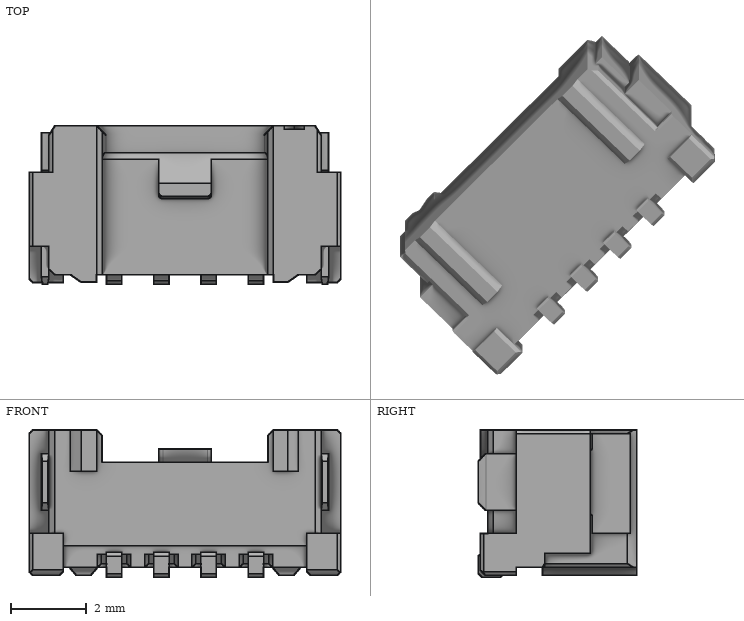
import cadquery as cq
import math


overall_length = 8.25
overall_depth = 4.2
overall_height = 3.9
side_x = overall_length / 2
rear_y = overall_depth / 2
pin_tip_y = -rear_y

core_half_length = 3.6
core_front_y = -1.845
core_bottom_z = 0.26
edge_chamfer = 0.1
corner_width = 0.16
front_corner_depth = 0.15
rear_corner_depth = 0.25

wing_rear_y = 0.87
wing_front_y = -1.09
wing_underside_z = 0.635
wing_skirt_rear_y = -0.34
skirt_bevel = 0.06
wing_overlap = 0.3
wing_inner_x = core_half_length - wing_overlap
foot_front_y = -2.05
foot_inner_x = 3.22
foot_bottom_z = 0.05
foot_top_z = 1.16
foot_toe_chamfer = 0.15

channel_half_width = 2.19
post_chamfer = 0.15
lip_x = channel_half_width + post_chamfer
roof_z = 3.05
ledge_z = 2.95
ramp_top_y = 1.21
ramp_bottom_y = 1.39
ramp_slope = (roof_z - ledge_z) / (ramp_bottom_y - ramp_top_y)
ledge_fillet = roof_z - ledge_z

latch_width = 1.39
latch_top_z = 3.4
latch_rear_y = ramp_top_y - (latch_top_z - roof_z) / ramp_slope
latch_front_top_y = 0.235
latch_front_base_y = 0.17
latch_fillet = 0.1

rib_front_y = -2.04
rib_bottom_z = 2.8
rib_inner_x = lip_x
rib_root_width = {-1: 0.69, 1: 0.66}
rib_slope_width = 0.28

rail_center_x = 2.685
rail_base_width = 0.75
rail_foot_width = 0.38
rail_front_y = -0.4

tab_inner_x = core_half_length
tab_thickness = 0.2
front_tab_bottom_z = 1.77
front_tab_top_z = 3.27
front_tab_chamfer = 0.2
front_tab_taper = 0.03
rear_tab_rear_y = 1.92
rear_tab_top_z = overall_height - edge_chamfer
neck_length = 0.05
neck_bottom_z = 1.63
neck_top_z = 3.4

strip_top_z = 0.84
strip_depth = 0.1
strip_y = core_front_y + strip_depth

pin_count = 4
pin_pitch = 1.25
pin_width = 0.41
pin_rear_y = -1.46
pin_top_z = 0.66
pin_chamfer = 0.1
pin_heel_chamfer = 0.05
pocket_width = 0.88
pocket_top_z = 0.61
pocket_taper = 0.1
pocket_straight_depth = 0.2
pocket_sill_z = core_bottom_z + pocket_taper
pin_root_y = strip_y + pocket_straight_depth + 2 * pocket_taper

mark_center_x = 2.89
mark_width = 0.52
mark_height = mark_width * math.sin(math.radians(60))
mark_depth = 0.1


def prism_x(points, x_start, x_end):
    """Extrude a (y, z) outline between two X positions."""
    outline = cq.Workplane("YZ", origin=(x_start, 0, 0)).polyline(points).close()
    return outline.extrude(x_end - x_start)


def prism_y(points, y_start, y_end):
    """Extrude an (x, z) outline between two Y positions."""
    outline = cq.Workplane("XZ", origin=(0, y_start, 0)).polyline(points).close()
    return outline.extrude(y_start - y_end)


def prism_z(points, z_start, z_end):
    """Extrude an (x, y) outline between two Z positions."""
    outline = cq.Workplane("XY", origin=(0, 0, z_start)).polyline(points).close()
    return outline.extrude(z_end - z_start)


def mirrored(points):
    """Close a half outline by repeating it, reversed, on the -X side."""
    return points + [(-x, v) for x, v in reversed(points)]


def both_sides(solid):
    """Join a solid with its mirror image on the -X side."""
    return solid.union(solid.mirror("YZ"))


def make_core():
    corner_x = core_half_length - corner_width
    plan = mirrored([
        (corner_x, core_front_y),
        (core_half_length, core_front_y + front_corner_depth),
        (core_half_length, rear_y - rear_corner_depth),
        (corner_x, rear_y),
    ])
    core = prism_z(plan, core_bottom_z, overall_height)

    bevel_x = core_half_length - edge_chamfer
    top_bevel = prism_y(
        [
            (bevel_x, overall_height),
            (core_half_length, overall_height),
            (core_half_length, overall_height - edge_chamfer),
        ],
        wing_front_y,
        rear_y,
    )
    bottom_bevel = prism_y(
        [
            (bevel_x, core_bottom_z),
            (core_half_length, core_bottom_z),
            (core_half_length, core_bottom_z + edge_chamfer),
        ],
        wing_skirt_rear_y,
        rear_y,
    )
    return core.cut(both_sides(top_bevel)).cut(both_sides(bottom_bevel))


def make_channel():
    """Volume removed between the posts: stepped floor, filleted ledge, flared mouth."""
    ledge_x = channel_half_width - ledge_fillet
    bend = ledge_fillet * (1 - math.sin(math.radians(45)))
    section = (
        cq.Workplane("XZ", origin=(0, core_front_y, 0))
        .moveTo(-ledge_x, ledge_z)
        .lineTo(ledge_x, ledge_z)
        .threePointArc((channel_half_width - bend, ledge_z + bend), (channel_half_width, roof_z))
        .lineTo(channel_half_width, overall_height - post_chamfer)
        .lineTo(lip_x, overall_height)
        .lineTo(-lip_x, overall_height)
        .lineTo(-channel_half_width, overall_height - post_chamfer)
        .lineTo(-channel_half_width, roof_z)
        .threePointArc((bend - channel_half_width, ledge_z + bend), (-ledge_x, ledge_z))
        .close()
        .extrude(core_front_y - rear_y)
    )
    floor = [
        (core_front_y, roof_z),
        (ramp_top_y, roof_z),
        (ramp_bottom_y, ledge_z),
        (rear_y, ledge_z),
        (rear_y, overall_height),
        (core_front_y, overall_height),
    ]
    channel = section.intersect(prism_x(floor, -lip_x, lip_x))
    mouth = mirrored([(ledge_x, rear_y - (lip_x - ledge_x)), (lip_x, rear_y)])
    return channel.union(prism_z(mouth, ledge_z, overall_height))


def make_latch():
    profile = [
        (latch_front_base_y, roof_z),
        (latch_front_top_y, latch_top_z),
        (latch_rear_y, latch_top_z),
        (ramp_top_y, roof_z),
    ]
    latch = prism_x(profile, -latch_width / 2, latch_width / 2)
    front_edges = latch.faces("<Y").edges("not #Z")
    return front_edges.fillet(latch_fillet)


def make_wing():
    profile = [
        (wing_front_y, core_bottom_z),
        (wing_skirt_rear_y - skirt_bevel, core_bottom_z),
        (wing_skirt_rear_y, core_bottom_z + edge_chamfer),
        (wing_skirt_rear_y, wing_underside_z),
        (wing_rear_y, wing_underside_z),
        (wing_rear_y, overall_height),
        (wing_front_y, overall_height),
    ]
    wing = prism_x(profile, wing_inner_x, side_x)
    return wing.faces(">Z").edges(">X").chamfer(edge_chamfer)


def make_foot():
    front = [
        (foot_inner_x, foot_top_z),
        (foot_inner_x, foot_bottom_z + edge_chamfer),
        (foot_inner_x + edge_chamfer, foot_bottom_z),
        (side_x - edge_chamfer, foot_bottom_z),
        (side_x, foot_bottom_z + edge_chamfer),
        (side_x, foot_top_z),
    ]
    side = [
        (wing_front_y, foot_bottom_z),
        (foot_front_y + foot_toe_chamfer, foot_bottom_z),
        (foot_front_y, foot_bottom_z + foot_toe_chamfer),
        (foot_front_y, foot_top_z),
        (wing_front_y, foot_top_z),
    ]
    plan = [
        (foot_inner_x, wing_front_y),
        (foot_inner_x, foot_front_y),
        (side_x - edge_chamfer, foot_front_y),
        (side_x, foot_front_y + edge_chamfer),
        (side_x, wing_front_y),
    ]
    foot = prism_y(front, foot_front_y, wing_front_y)
    foot = foot.intersect(prism_x(side, foot_inner_x, side_x))
    return foot.intersect(prism_z(plan, foot_bottom_z, foot_top_z))


def make_rib(side):
    """Rib on the front of one post; side is -1 or +1."""
    root_x = rib_inner_x + rib_root_width[side]
    plan = [
        (side * rib_inner_x, core_front_y),
        (side * rib_inner_x, rib_front_y),
        (side * (root_x - rib_slope_width), rib_front_y),
        (side * root_x, core_front_y),
    ]
    return prism_z(plan, rib_bottom_z, overall_height)


def make_rail():
    section = [
        (rail_center_x - rail_base_width / 2, core_bottom_z),
        (rail_center_x - rail_foot_width / 2, foot_bottom_z),
        (rail_center_x + rail_foot_width / 2, foot_bottom_z),
        (rail_center_x + rail_base_width / 2, core_bottom_z),
    ]
    return prism_y(section, rail_front_y, rear_y)


def make_front_tab():
    outer_x = tab_inner_x + tab_thickness
    shoulder_y = pin_tip_y + front_tab_chamfer
    side = [
        (wing_front_y, front_tab_bottom_z),
        (shoulder_y, front_tab_bottom_z),
        (pin_tip_y, front_tab_bottom_z + front_tab_chamfer),
        (pin_tip_y, front_tab_top_z - front_tab_chamfer),
        (shoulder_y, front_tab_top_z),
        (wing_front_y, front_tab_top_z),
    ]
    plan = [
        (tab_inner_x, wing_front_y),
        (tab_inner_x, shoulder_y),
        (tab_inner_x + front_tab_taper, pin_tip_y),
        (outer_x - front_tab_taper, pin_tip_y),
        (outer_x, shoulder_y),
        (outer_x, wing_front_y),
    ]
    tab = prism_x(side, tab_inner_x, outer_x)
    return tab.intersect(prism_z(plan, front_tab_bottom_z, front_tab_top_z))


def make_rear_tab():
    """Plate behind the wing, narrowing to a neck where it enters the wing."""
    plate_front_y = wing_rear_y + neck_length
    side = [
        (rear_tab_rear_y, foot_top_z),
        (rear_tab_rear_y, rear_tab_top_z),
        (plate_front_y, rear_tab_top_z),
        (plate_front_y, neck_top_z),
        (wing_rear_y, neck_top_z - neck_length),
        (wing_rear_y, neck_bottom_z + neck_length),
        (plate_front_y, neck_bottom_z),
        (plate_front_y, foot_top_z),
    ]
    return prism_x(side, tab_inner_x - corner_width, tab_inner_x + tab_thickness)


def make_pin(x):
    """Pin with a downward foot and a shank that runs back into the housing."""
    side = [
        (pin_root_y, pin_top_z),
        (pin_root_y, pocket_sill_z),
        (pin_rear_y, pocket_sill_z),
        (pin_rear_y, pin_heel_chamfer),
        (pin_rear_y - pin_heel_chamfer, 0),
        (pin_tip_y + pin_chamfer, 0),
        (pin_tip_y, pin_chamfer),
        (pin_tip_y, pin_top_z - pin_chamfer),
        (pin_tip_y + pin_chamfer, pin_top_z),
    ]
    return prism_x(side, x - pin_width / 2, x + pin_width / 2)


def make_strip_recess():
    width = 2 * foot_inner_x
    height = strip_top_z - core_bottom_z
    recess = cq.Workplane("XY", origin=(0, core_front_y, core_bottom_z))
    return recess.box(width, strip_depth, height, centered=(True, False, False))


def make_pocket(x):
    """Pocket open at the bottom, whose sides and rear sill slope inward at its back."""
    taper_y = strip_y + pocket_straight_depth
    back_y = taper_y + pocket_taper
    half_width = pocket_width / 2
    back_half_width = half_width - pocket_taper
    plan = [
        (x - half_width, strip_y),
        (x - half_width, taper_y),
        (x - back_half_width, back_y),
        (x + back_half_width, back_y),
        (x + half_width, taper_y),
        (x + half_width, strip_y),
    ]
    side = [
        (strip_y, core_bottom_z),
        (taper_y, core_bottom_z),
        (back_y, pocket_sill_z),
        (back_y, pocket_top_z),
        (strip_y, pocket_top_z),
    ]
    pocket = prism_z(plan, core_bottom_z, pocket_top_z)
    return pocket.intersect(prism_x(side, x - half_width, x + half_width))


def make_pin_one_mark():
    triangle = [
        (mark_center_x - mark_width / 2, overall_height),
        (mark_center_x, overall_height - mark_height),
        (mark_center_x + mark_width / 2, overall_height),
    ]
    return prism_y(triangle, rear_y - mark_depth, rear_y)


result = make_core().cut(make_channel()).cut(make_pin_one_mark())
result = result.cut(make_strip_recess()).union(make_latch())

for side_feature in (make_wing, make_foot, make_rail, make_front_tab, make_rear_tab):
    result = result.union(both_sides(side_feature()))

for side in (-1, 1):
    result = result.union(make_rib(side))

for index in range(pin_count):
    pin_x = (index - (pin_count - 1) / 2) * pin_pitch
    result = result.cut(make_pocket(pin_x)).union(make_pin(pin_x))